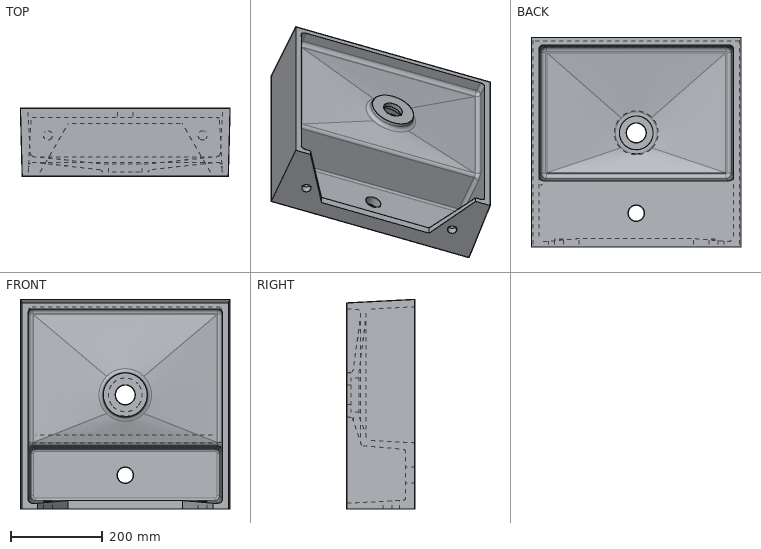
import cadquery as cq
import math


WIDTH = 460.0
HEIGHT = 460.0
DEPTH = 150.0
RIM_Y = DEPTH / 2
UNDERSIDE_Y = -DEPTH / 2
SIDE_DRAFT = math.tan(math.radians(1.5))
DRAFT_ANGLE = 3.0
DRAFT = math.tan(math.radians(DRAFT_ANGLE))
FRONT_HALF_WIDTH = WIDTH / 2 - SIDE_DRAFT * DEPTH
FRONT_HEIGHT = HEIGHT - DRAFT * DEPTH

WALL = 13.0
CORNER_RADIUS = 10.0
DECK_Y = 54.0
DECK_FILLET = 5.0

BOWL_BASE_Y = -44.0
BOWL_WALL_Z = 139.5
BOWL_WALL_DRAFT = math.tan(math.radians(5.0))
BOWL_SIDE_FILLET = 9.5
BOWL_LIP_FILLET = 7.5
BOWL_BASE_HALF_WIDTH = 201.0
BOWL_BASE_LOW_Z = 146.5
BOWL_BASE_HIGH_Z = 426.5
BOWL_THICKNESS = 12.0

DRAIN_Z = 250.5
DRAIN_DIAMETER = 43.0
BOSS_FACE_RADIUS = 48.0
BOSS_NECK_RADIUS = 49.0
BOSS_FILLET = 8.5
BOSS_BASE_RADIUS = BOSS_NECK_RADIUS + BOSS_FILLET
BOSS_BASE_Y = -60.0
DRAIN_RECESS_DIAMETER = 74.0
DRAIN_FLOOR_THICKNESS = 10.0

BASIN_HALF_WIDTH = 208.0
BASIN_LOW_Z = 151.0
BASIN_HIGH_Z = 438.0
BASIN_CORNER_RADIUS = 12.0
BASIN_FLOOR_FILLET = 10.0
BASIN_DISH_RADIUS = 46.0
BASIN_DISH_Y = BOSS_BASE_Y + BOWL_THICKNESS

TAP_DIAMETER = 35.0
TAP_Z = 74.5

NOTCH_INNER_HALF = 125.0
NOTCH_OUTER_HALF = 192.0
NOTCH_INNER_Y = 41.0
FIXING_DIAMETER = 20.0
FIXING_X = 169.5
FIXING_Y = 15.0
BOTTOM_CUT_HEIGHT = 30.0

LENGTHWISE_EDGES = "not(|X or |Z)"


def cylinder_y(diameter, z, y_start, y_end):
    """Cylinder along Y, centred in X."""
    return (
        cq.Workplane("XZ", origin=(0, y_start, z))
        .circle(diameter / 2)
        .extrude(y_start - y_end)
    )


def drafted_block(y_start, y_end, half_width, z_low, z_high):
    """Rectangular block along Y that narrows by the draft angle from y_start to y_end.

    The half width and the two heights are those at y_start.
    """
    direction = 1 if y_end > y_start else -1
    start_plane = cq.Plane(
        origin=(0, y_start, (z_low + z_high) / 2),
        xDir=(1, 0, 0),
        normal=(0, direction, 0),
    )
    return (
        cq.Workplane(start_plane)
        .rect(2 * half_width, z_high - z_low)
        .extrude(abs(y_end - y_start), taper=DRAFT_ANGLE)
    )


def dish(y_start, y_end, half_width, z_low, z_high, end_radius):
    """Funnel from a rectangle at y_start to a circle around the drain at y_end.

    The circle is made of quarter arcs that meet on its diagonals, one for each side.
    """
    corners = [
        cq.Vector(-half_width, y_start, z_low),
        cq.Vector(half_width, y_start, z_low),
        cq.Vector(half_width, y_start, z_high),
        cq.Vector(-half_width, y_start, z_high),
    ]
    rectangle = cq.Wire.makePolygon(corners, close=True)

    def on_circle(degrees):
        angle = math.radians(degrees)
        return cq.Vector(
            end_radius * math.cos(angle), y_end, DRAIN_Z + end_radius * math.sin(angle)
        )

    quarter_arcs = [
        cq.Edge.makeThreePointArc(on_circle(start), on_circle(start + 45), on_circle(start + 90))
        for start in (225, 315, 45, 135)
    ]
    circle = cq.Wire.assembleEdges(quarter_arcs)
    return cq.Workplane(cq.Solid.makeLoft([rectangle, circle], True))


def make_body():
    """Outer block: both sides and the top lean inwards towards the underside."""
    plan = (
        cq.Workplane("XY")
        .moveTo(-WIDTH / 2, RIM_Y)
        .lineTo(WIDTH / 2, RIM_Y)
        .lineTo(FRONT_HALF_WIDTH, UNDERSIDE_Y)
        .lineTo(-FRONT_HALF_WIDTH, UNDERSIDE_Y)
        .close()
        .extrude(HEIGHT)
    )
    profile = (
        cq.Workplane("YZ")
        .moveTo(UNDERSIDE_Y, 0)
        .lineTo(RIM_Y, 0)
        .lineTo(RIM_Y, HEIGHT)
        .lineTo(UNDERSIDE_Y, FRONT_HEIGHT)
        .close()
        .extrude(WIDTH / 2, both=True)
    )
    return plan.intersect(profile)


def make_bowl_block():
    """Rough outside of the bowl: everything behind its base and above its lower wall."""
    wall_drop = BOWL_WALL_DRAFT * (RIM_Y - BOWL_BASE_Y)
    return (
        cq.Workplane("YZ")
        .moveTo(BOWL_BASE_Y, BOWL_WALL_Z)
        .lineTo(RIM_Y, BOWL_WALL_Z - wall_drop)
        .lineTo(RIM_Y, HEIGHT)
        .lineTo(BOWL_BASE_Y, HEIGHT)
        .close()
        .extrude(WIDTH / 2, both=True)
    )


def edges_of_face(solid, face_point, z_above=-math.inf):
    """Edges of the face nearest to a point, optionally only those centred above a height."""
    face = solid.faces(cq.selectors.NearestToPointSelector(face_point))
    return [edge for edge in face.edges().vals() if edge.Center().z > z_above]


def make_underside():
    """Hollow of the underside: shallow over the bowl, deep over the tap deck."""
    hollow = drafted_block(
        UNDERSIDE_Y, DECK_Y, FRONT_HALF_WIDTH - WALL, WALL, FRONT_HEIGHT - WALL
    )
    hollow = hollow.edges(LENGTHWISE_EDGES).fillet(CORNER_RADIUS).cut(make_bowl_block())

    base_point = (0, BOWL_BASE_Y, (BOWL_WALL_Z + FRONT_HEIGHT) / 2)
    deck_point = (0, DECK_Y, TAP_Z)
    lip = hollow.faces(cq.selectors.NearestToPointSelector(base_point)).edges("<Z").vals()
    hollow = hollow.newObject(lip).fillet(BOWL_LIP_FILLET)
    sides = edges_of_face(hollow, base_point, BOWL_WALL_Z + 2 * BOWL_LIP_FILLET)
    hollow = hollow.newObject(sides).fillet(BOWL_SIDE_FILLET)
    return hollow.newObject(edges_of_face(hollow, deck_point)).fillet(DECK_FILLET)


def make_bowl_bottom():
    """Outside of the sloping bowl bottom, ending in the drain boss."""
    slope = dish(
        BOWL_BASE_Y,
        BOSS_BASE_Y,
        BOWL_BASE_HALF_WIDTH,
        BOWL_BASE_LOW_Z,
        BOWL_BASE_HIGH_Z,
        BOSS_BASE_RADIUS,
    )
    fillet_end_y = BOSS_BASE_Y - BOSS_FILLET
    fillet_reach = BOSS_FILLET * math.sqrt(0.5)
    fillet_middle = (
        BOSS_BASE_RADIUS - fillet_reach,
        fillet_end_y + fillet_reach,
    )
    boss = (
        cq.Workplane("XY", origin=(0, 0, DRAIN_Z))
        .moveTo(0, BOSS_BASE_Y)
        .lineTo(BOSS_BASE_RADIUS, BOSS_BASE_Y)
        .threePointArc(fillet_middle, (BOSS_NECK_RADIUS, fillet_end_y))
        .lineTo(BOSS_FACE_RADIUS, UNDERSIDE_Y)
        .lineTo(0, UNDERSIDE_Y)
        .close()
        .revolve(360, (0, 0, 0), (0, 1, 0))
    )
    return slope.union(boss)


def make_basin():
    """Basin cavity: drafted walls, rounded floor edges, a dished floor and a drain recess."""
    floor_y = BOWL_BASE_Y + BOWL_THICKNESS
    widening = DRAFT * (RIM_Y - floor_y)
    basin = drafted_block(
        RIM_Y,
        floor_y,
        BASIN_HALF_WIDTH + widening,
        BASIN_LOW_Z - widening,
        BASIN_HIGH_Z + widening,
    )
    basin = basin.edges(LENGTHWISE_EDGES).fillet(BASIN_CORNER_RADIUS)
    basin = basin.faces("<Y").edges().fillet(BASIN_FLOOR_FILLET)
    floor_dish = dish(
        floor_y,
        BASIN_DISH_Y,
        BASIN_HALF_WIDTH - BASIN_CORNER_RADIUS,
        BASIN_LOW_Z + BASIN_CORNER_RADIUS,
        BASIN_HIGH_Z - BASIN_CORNER_RADIUS,
        BASIN_DISH_RADIUS,
    )
    recess = cylinder_y(
        DRAIN_RECESS_DIAMETER, DRAIN_Z, UNDERSIDE_Y + DRAIN_FLOOR_THICKNESS, floor_y
    )
    return basin.union(floor_dish).union(recess)


def make_holes():
    """Drain hole and tap hole, both along Y."""
    drain = cylinder_y(DRAIN_DIAMETER, DRAIN_Z, UNDERSIDE_Y, RIM_Y)
    tap = cylinder_y(TAP_DIAMETER, TAP_Z, UNDERSIDE_Y, RIM_Y)
    return drain.union(tap)


def make_bottom_cut():
    """Cut-out of the bottom wall that leaves two feet, and one fixing hole in each foot."""
    notch = (
        cq.Workplane("XY")
        .moveTo(-NOTCH_OUTER_HALF, UNDERSIDE_Y)
        .lineTo(-NOTCH_INNER_HALF, NOTCH_INNER_Y)
        .lineTo(NOTCH_INNER_HALF, NOTCH_INNER_Y)
        .lineTo(NOTCH_OUTER_HALF, UNDERSIDE_Y)
        .close()
        .extrude(BOTTOM_CUT_HEIGHT)
    )
    fixing_holes = (
        cq.Workplane("XY")
        .pushPoints([(-FIXING_X, FIXING_Y), (FIXING_X, FIXING_Y)])
        .circle(FIXING_DIAMETER / 2)
        .extrude(BOTTOM_CUT_HEIGHT)
    )
    return notch.union(fixing_holes)


result = (
    make_body()
    .cut(make_underside())
    .union(make_bowl_bottom())
    .cut(make_basin())
    .cut(make_holes())
    .cut(make_bottom_cut())
)